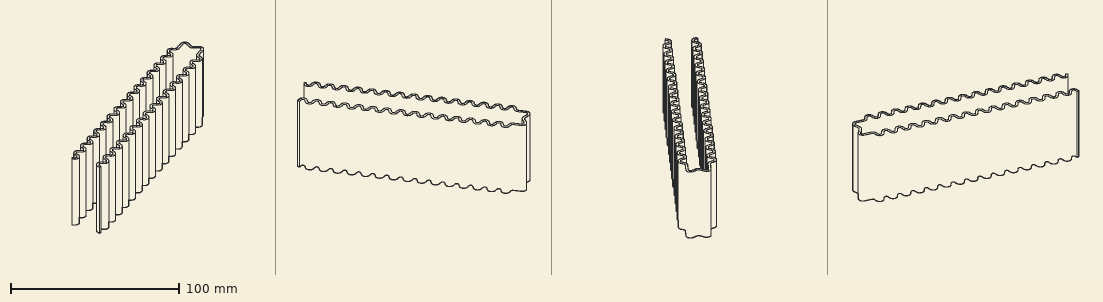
import cadquery as cq
import math


overall_length = 138.3
overall_width = 23.0
height = 48.0
half_thickness = 0.75
inner_bend_radius = 1.22
wave_count = 15
wave_run = 127.5
dip_angle = math.radians(30.0)

bend_radius = inner_bend_radius + half_thickness
outer_bend_radius = bend_radius + half_thickness

half_wave = wave_run / wave_count / 2
flank_angle = math.asin(2 * bend_radius / half_wave)
flank_length = math.sqrt(half_wave ** 2 - (2 * bend_radius) ** 2)

end_drop = outer_bend_radius * math.sin(flank_angle) + flank_length * math.cos(flank_angle)
straight_length = overall_length - wave_run - end_drop - outer_bend_radius

leg_axis = overall_width / 2 - outer_bend_radius
corner_center = leg_axis - 2 * bend_radius
dip_side_length = (corner_center - 2 * bend_radius * math.sin(dip_angle)) / math.cos(dip_angle)

end_x = -leg_axis - flank_length / 2 * math.sin(flank_angle)
end_y = -overall_length / 2 + half_thickness * math.sin(flank_angle)
end_heading = math.pi / 2 - flank_angle


def strip_steps():
    """List the straights and bends met along the strip, from end to end; left bends are positive."""
    flank = ("straight", flank_length)
    inward_crest = ("bend", 2 * flank_angle)
    outward_crest = ("bend", -2 * flank_angle)
    corrugation = [flank] + [inward_crest, flank, outward_crest, flank] * wave_count
    half = corrugation + [
        ("bend", flank_angle),
        ("straight", straight_length),
        ("bend", -math.pi / 2 - dip_angle),
        ("straight", dip_side_length),
    ]
    dip_bottom = ("bend", 2 * dip_angle)
    return half + [dip_bottom] + half[::-1]


def shifted(point, distance, direction):
    """Move a point by a distance in the given direction."""
    return point + cq.Vector(math.cos(direction), math.sin(direction)) * distance


def face_edges(offset):
    """Trace one face of the strip, lying at the given offset to the left of the centre line."""
    left = math.pi / 2
    heading = end_heading
    point = shifted(cq.Vector(end_x, end_y), offset, heading + left)
    edges = []
    for kind, amount in strip_steps():
        if kind == "straight":
            next_point = shifted(point, amount, heading)
            edges.append(cq.Edge.makeLine(point, next_point))
        else:
            reach = math.copysign(bend_radius, amount) - offset
            center = shifted(point, reach, heading + left)
            middle = shifted(center, -reach, heading + amount / 2 + left)
            heading += amount
            next_point = shifted(center, -reach, heading + left)
            edges.append(cq.Edge.makeThreePointArc(point, middle, next_point))
        point = next_point
    return edges


left_face = face_edges(half_thickness)
right_face = face_edges(-half_thickness)
start_cut = cq.Edge.makeLine(left_face[0].startPoint(), right_face[0].startPoint())
finish_cut = cq.Edge.makeLine(left_face[-1].endPoint(), right_face[-1].endPoint())
profile = cq.Wire.assembleEdges(left_face + [finish_cut] + right_face[::-1] + [start_cut])

strip = cq.Solid.extrudeLinear(profile, [], cq.Vector(0, 0, height))
result = cq.Workplane("XY").newObject([strip])